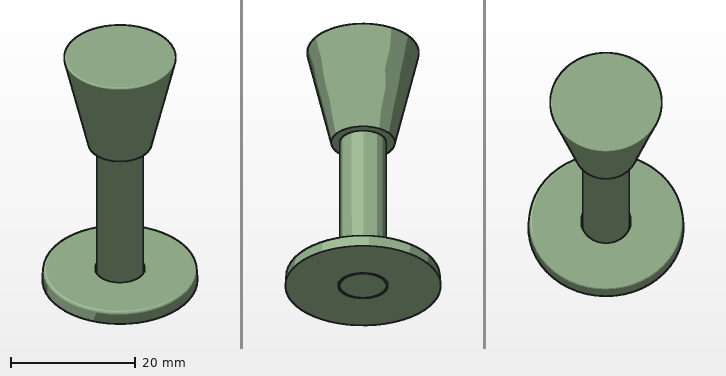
import cadquery as cq
import math

total_height = 43.8

base_diameter = 25.0
base_thickness = 2.2
base_taper_angle = 4.0
base_rim_radius = 0.5

stem_diameter = 7.5
stem_clearance = 0.25
base_hole_diameter = stem_diameter + 2 * stem_clearance

knob_bottom_diameter = 10.25
knob_top_diameter = 18.15
knob_height = 17.05
knob_rim_radius = 0.25
knob_bottom_z = total_height - knob_height


def make_cone(bottom_diameter, top_diameter, height, bottom_z):
    """Solid truncated cone standing on the Z axis."""
    profile = (
        cq.Workplane("XZ")
        .moveTo(0, bottom_z)
        .lineTo(bottom_diameter / 2, bottom_z)
        .lineTo(top_diameter / 2, bottom_z + height)
        .lineTo(0, bottom_z + height)
        .close()
    )
    return profile.revolve(360, (0, 0), (0, 1))


def make_base_plate():
    """Tapered disc with a rounded top rim and a through hole for the stem."""
    taper_inset = base_thickness * math.tan(math.radians(base_taper_angle))
    top_diameter = base_diameter - 2 * taper_inset
    disc = make_cone(base_diameter, top_diameter, base_thickness, 0)
    disc = disc.faces(">Z").edges().fillet(base_rim_radius)
    hole = cq.Workplane("XY").circle(base_hole_diameter / 2).extrude(base_thickness)
    return disc.cut(hole)


def make_knob_with_stem():
    """Conical knob and the round stem that carries it, as one solid."""
    knob = make_cone(knob_bottom_diameter, knob_top_diameter, knob_height, knob_bottom_z)
    knob = knob.faces(">Z").edges().fillet(knob_rim_radius)
    stem = cq.Workplane("XY").circle(stem_diameter / 2).extrude(knob_bottom_z)
    return knob.union(stem)


base_plate = make_base_plate()
knob_with_stem = make_knob_with_stem()

result = cq.Compound.makeCompound([base_plate.solids().val(), knob_with_stem.solids().val()])